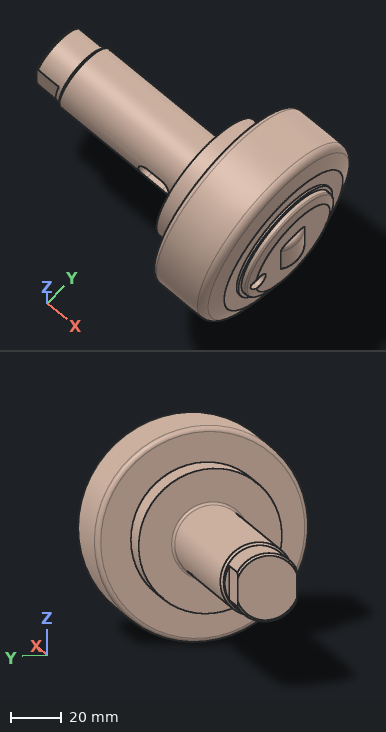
import cadquery as cq
import math

total_length = 127.8
neck_diameter = 28.0
end_chamfer = 0.9
neck_end = 13.9
journal_diameter = 30.0
journal_fillet = 1.0
flats_length = 12.0
flats_width = 24.3

flange_start = 79.6
flange_diameter = 59.0
tyre_start = 90.5
tyre_width = 30.2
tyre_edge_radius = 44.1
tyre_crown_height = 0.1
tyre_back_fillet = 2.0
tyre_front_fillet = 3.8
cone_angle = math.radians(68)
tyre_cone_length = 2.7
washer_diameter = 55.5
washer_thickness = 1.0
cap_diameter = 52.0
cap_rim_end = 123.3
cap_fillet = 0.9
cap_end = 125.6

slot_start = 56.9
slot_length = 16.1
slot_width = 8.0
slot_depth = 4.6
cap_hole_diameter = 8.0
cap_hole_offset = 20.0
cap_hole_depth = 2.5
boss_radius = 12.7
boss_length = 20.6
boss_end_fillet = 2.3


def fillet_to_cone(start_x, start_radius, fillet):
    """Return the middle and end points of a round turning from a cylinder to a cone."""
    return [
        (start_x + fillet * math.sin(angle), start_radius - fillet * (1 - math.cos(angle)))
        for angle in (cone_angle / 2, cone_angle)
    ]


def revolve_about_x(profile):
    return profile.close().revolve(360, (0, 0, 0), (1, 0, 0))


def make_stud():
    neck_radius = neck_diameter / 2
    journal_radius = journal_diameter / 2
    shoulder_chamfer = journal_radius - neck_radius
    fillet_start = flange_start - journal_fillet
    fillet_side = journal_fillet * math.sqrt(0.5)
    profile = (
        cq.Workplane("XY")
        .moveTo(0, 0)
        .lineTo(0, neck_radius - end_chamfer)
        .lineTo(end_chamfer, neck_radius)
        .lineTo(neck_end, neck_radius)
        .lineTo(neck_end + shoulder_chamfer, journal_radius)
        .lineTo(fillet_start, journal_radius)
        .threePointArc(
            (fillet_start + fillet_side, journal_radius + journal_fillet - fillet_side),
            (flange_start, journal_radius + journal_fillet),
        )
        .lineTo(flange_start, flange_diameter / 2)
        .lineTo(tyre_start, flange_diameter / 2)
        .lineTo(tyre_start, 0)
    )
    return revolve_about_x(profile)


def make_tyre():
    tyre_end = tyre_start + tyre_width
    cone_start = tyre_end - tyre_cone_length
    crown_start = tyre_start + tyre_back_fillet
    crown_end = cone_start - tyre_front_fillet * math.sin(cone_angle)
    crown_middle = ((crown_start + crown_end) / 2, tyre_edge_radius + tyre_crown_height)
    front_round = fillet_to_cone(crown_end, tyre_edge_radius, tyre_front_fillet)
    face_radius = front_round[1][1] - tyre_cone_length * math.tan(cone_angle)
    back_offset = tyre_back_fillet * (1 - math.sqrt(0.5))
    profile = (
        cq.Workplane("XY")
        .moveTo(tyre_start, 0)
        .lineTo(tyre_start, tyre_edge_radius - tyre_back_fillet)
        .threePointArc(
            (tyre_start + back_offset, tyre_edge_radius - back_offset),
            (crown_start, tyre_edge_radius),
        )
        .threePointArc(crown_middle, (crown_end, tyre_edge_radius))
        .threePointArc(*front_round)
        .lineTo(tyre_end, face_radius)
        .lineTo(tyre_end, 0)
    )
    return revolve_about_x(profile)


def make_cap():
    washer_start = tyre_start + tyre_width
    washer_end = washer_start + washer_thickness
    cap_radius = cap_diameter / 2
    rim_round = fillet_to_cone(cap_rim_end, cap_radius, cap_fillet)
    cone_length = cap_end - rim_round[1][0]
    profile = (
        cq.Workplane("XY")
        .moveTo(washer_start, 0)
        .lineTo(washer_start, washer_diameter / 2)
        .lineTo(washer_end, washer_diameter / 2)
        .lineTo(washer_end, cap_radius)
        .lineTo(cap_rim_end, cap_radius)
        .threePointArc(*rim_round)
        .lineTo(cap_end, rim_round[1][1] - cone_length * math.tan(cone_angle))
        .lineTo(cap_end, 0)
    )
    return revolve_about_x(profile)


def make_boss():
    """Cylinder along Z, mostly buried in the roller, with its crest at the full length."""
    return (
        cq.Workplane("XY", origin=(total_length - boss_radius, 0, -boss_length / 2))
        .circle(boss_radius)
        .extrude(boss_length)
        .edges("%CIRCLE")
        .fillet(boss_end_fillet)
    )


def make_flat_cutter(side):
    depth = (neck_diameter - flats_width) / 2
    centre_y = side * (flats_width + depth) / 2
    return (
        cq.Workplane("XY")
        .box(flats_length, depth, neck_diameter, centered=(False, True, True))
        .translate((0, centre_y, 0))
    )


def make_slot_cutter():
    return (
        cq.Workplane("XZ", origin=(slot_start + slot_length / 2, -journal_diameter / 2, 0))
        .slot2D(slot_length, slot_width)
        .extrude(-slot_depth)
    )


def make_cap_hole_cutter():
    return (
        cq.Workplane("YZ", origin=(cap_end, -cap_hole_offset, 0))
        .circle(cap_hole_diameter / 2)
        .extrude(-cap_hole_depth)
    )


result = make_stud().union(make_tyre()).union(make_cap()).union(make_boss())
for side in (-1, 1):
    result = result.cut(make_flat_cutter(side))
result = result.cut(make_slot_cutter()).cut(make_cap_hole_cutter())